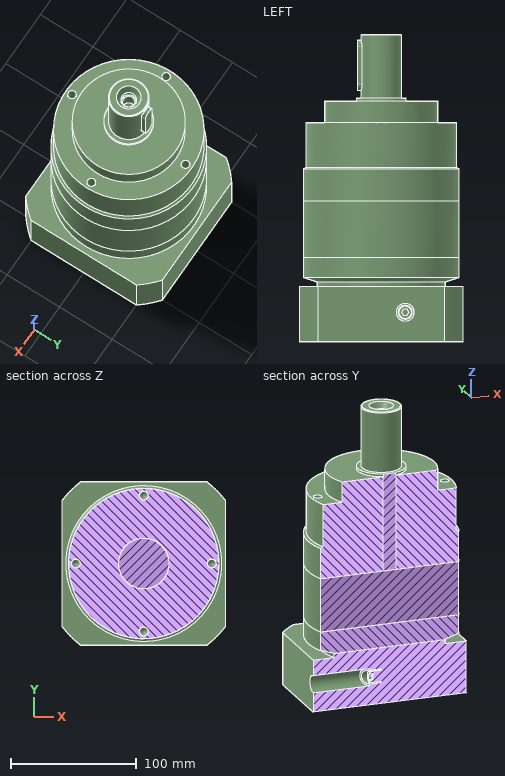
import cadquery as cq
import math

FLANGE_TOP = 44.0
NECK_TOP = 47.5
CONE_TOP = 51.0
REAR_TOP = 67.0
RING_TOP = 112.0
SHOULDER_EDGE = 137.5
SHOULDER_TOP = 138.6
HOUSING_TOP = 174.3
PILOT_TOP = 191.5
COLLAR_TOP = 193.6
SHAFT_TOP = 244.5

FLANGE_SIDE = 130.0
CORNER_RADIUS = 82.2
NECK_RADIUS = 51.0

BODY_DIAMETER = 124.0
BODY_RADIUS = BODY_DIAMETER / 2
HOUSING_RADIUS = 60.0
PILOT_RADIUS = 45.0

ACCESS_RADIUS = 7.0
ACCESS_Y = -19.0
ACCESS_Z = 23.5
HUB_RADIUS = 25.7
SCREW_HEAD_RADIUS = 5.0
SCREW_HEAD_X = -17.0
SEAT_RADIUS = 5.6
SEAT_X = -7.3
SOCKET_WIDTH = 5.0
SOCKET_DEPTH = 3.0

MOUNT_COUNT = 4
MOUNT_CIRCLE_RADIUS = 54.0
MOUNT_HOLE_RADIUS = 3.5
MOUNT_HOLE_DEPTH = 19.5
DRILL_POINT_ANGLE = 118

SHAFT_RADIUS = 16.1
SHAFT_CHAMFER = 0.7
COLLAR_RADIUS = 19.8
SINK_RADIUS = 9.8
SINK_DEPTH = 5.0
RELIEF_RADIUS = 6.0
RELIEF_DEPTH = 9.8
CENTRE_HOLE_RADIUS = 5.0
CENTRE_HOLE_DEPTH = 24.5

KEY_WIDTH = 10.0
KEY_LENGTH = 40.0
KEY_BOTTOM_Z = 199.8
KEY_SEAT_Y = 11.0
KEY_TOP_Y = 19.0


def disc(radius, bottom, top):
    """Cylinder about the gearbox axis between two levels."""
    return cq.Workplane("XY").workplane(offset=bottom).circle(radius).extrude(top - bottom)


def turned(points):
    """Solid of revolution about the gearbox axis from (radius, level) points."""
    return cq.Workplane("XZ").polyline(points).close().revolve(360, (0, 0), (0, 1))


def drill_point(radius):
    """Height of the conical end of a drilled hole."""
    return radius / math.tan(math.radians(DRILL_POINT_ANGLE / 2))


def along_x(start):
    """Workplane facing +X on the centre line of the screw access hole."""
    return cq.Workplane("YZ", origin=(start, ACCESS_Y, ACCESS_Z))


def make_access_hole():
    """Space of the access hole, ending at the round clamp hub and its recessed socket screw."""
    side = -FLANGE_SIDE / 2
    hole = along_x(side).circle(ACCESS_RADIUS).extrude(-side)
    hub = disc(HUB_RADIUS, 0, FLANGE_TOP)
    head = along_x(SCREW_HEAD_X).circle(SCREW_HEAD_RADIUS).extrude(-SCREW_HEAD_X)
    seat = along_x(side).circle(SEAT_RADIUS).extrude(SEAT_X - side)
    socket_diameter = SOCKET_WIDTH / math.cos(math.pi / 6)
    socket = along_x(SCREW_HEAD_X).polygon(6, socket_diameter).extrude(SOCKET_DEPTH)
    return hole.cut(hub).union(seat).cut(head).union(socket)


def make_adapter():
    flange = cq.Workplane("XY").rect(FLANGE_SIDE, FLANGE_SIDE).extrude(FLANGE_TOP)
    flange = flange.intersect(disc(CORNER_RADIUS, 0, FLANGE_TOP))
    neck = disc(NECK_RADIUS, FLANGE_TOP, NECK_TOP)
    return flange.union(neck).cut(make_access_hole())


def make_rear_cover():
    return turned([
        (0, NECK_TOP),
        (NECK_RADIUS, NECK_TOP),
        (BODY_RADIUS, CONE_TOP),
        (BODY_RADIUS, REAR_TOP),
        (0, REAR_TOP),
    ])


def make_ring_gear():
    return disc(BODY_RADIUS, REAR_TOP, RING_TOP)


def make_mount_hole():
    """Blind drilled hole, placed on the gearbox axis."""
    bottom = HOUSING_TOP - MOUNT_HOLE_DEPTH
    return turned([
        (0, HOUSING_TOP),
        (MOUNT_HOLE_RADIUS, HOUSING_TOP),
        (MOUNT_HOLE_RADIUS, bottom),
        (0, bottom - drill_point(MOUNT_HOLE_RADIUS)),
    ])


def make_housing():
    housing = turned([
        (COLLAR_RADIUS, RING_TOP),
        (BODY_RADIUS, RING_TOP),
        (BODY_RADIUS, SHOULDER_EDGE),
        (HOUSING_RADIUS, SHOULDER_TOP),
        (HOUSING_RADIUS, HOUSING_TOP),
        (PILOT_RADIUS, HOUSING_TOP),
        (PILOT_RADIUS, PILOT_TOP),
        (COLLAR_RADIUS, PILOT_TOP),
    ])
    hole = make_mount_hole().translate((MOUNT_CIRCLE_RADIUS, 0, 0))
    for index in range(MOUNT_COUNT):
        angle = index * 360 / MOUNT_COUNT
        housing = housing.cut(hole.rotate((0, 0, 0), (0, 0, 1), angle))
    return housing


def make_key():
    middle_z = KEY_BOTTOM_Z + KEY_LENGTH / 2
    plane = cq.Workplane("XZ", origin=(0, KEY_SEAT_Y, middle_z))
    return plane.slot2D(KEY_LENGTH, KEY_WIDTH, 90).extrude(KEY_SEAT_Y - KEY_TOP_Y)


def make_centre_hole():
    """Countersunk, relieved and drilled hole in the shaft end."""
    sink_bottom = SHAFT_TOP - SINK_DEPTH
    relief_bottom = SHAFT_TOP - RELIEF_DEPTH
    hole_bottom = SHAFT_TOP - CENTRE_HOLE_DEPTH
    return turned([
        (0, SHAFT_TOP),
        (SINK_RADIUS, SHAFT_TOP),
        (RELIEF_RADIUS, sink_bottom),
        (RELIEF_RADIUS, relief_bottom),
        (CENTRE_HOLE_RADIUS, relief_bottom),
        (CENTRE_HOLE_RADIUS, hole_bottom),
        (0, hole_bottom - drill_point(CENTRE_HOLE_RADIUS)),
    ])


def make_shaft():
    journal = disc(COLLAR_RADIUS, RING_TOP, COLLAR_TOP)
    output_end = disc(SHAFT_RADIUS, COLLAR_TOP, SHAFT_TOP).faces(">Z").chamfer(SHAFT_CHAMFER)
    return journal.union(output_end).cut(make_centre_hole()).cut(make_key())


adapter = make_adapter()
rear_cover = make_rear_cover()
ring_gear = make_ring_gear()
housing = make_housing()
shaft = make_shaft()
key = make_key()

result = cq.Compound.makeCompound([
    adapter.val(),
    rear_cover.val(),
    ring_gear.val(),
    housing.val(),
    shaft.val(),
    key.val(),
])